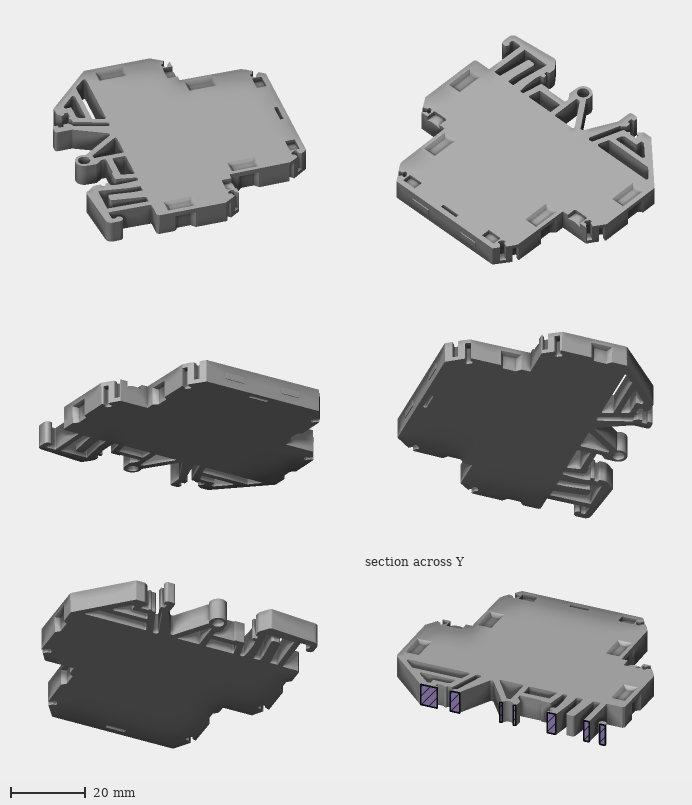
import cadquery as cq
import math

HEIGHT = 6.3
WIDTH = 67.14
BASE_HALF = WIDTH / 2
SHOULDER_Y = 23.9
TOWER_HALF = 21.9
TOWER_TOP = 46.73
FLANK_DRAFT_ANGLE = 1.0
WINDOW_DRAFT_ANGLE = 2.5

BASE_CUT_Y = 19.2
BASE_CUT_HALF = 30.4
TOWER_CUT_HALF = 17.74
TOWER_BEND = (20.86, 42.4)
TOWER_CUT_END = (21.68, 40.95)

EYE_CENTER = (4.31, -11.15)
EYE_DIAMETER = 4.9
EYE_HOLE_DIAMETER = 3.3

LEFT_FOOT = [
    (-BASE_HALF, 0.78, 0.9),
    (-20.1, -11.95, 0.4),
    (-17.5, -11.95, 0.8),
    (-16.2, -10.85, 0.3),
    (-16.65, -10.05, 0.2),
    (-17.2, -10.05, 0),
    (-17.2, -8.9, 0),
    (-15.15, -8.9, 0),
    (-15.05, -9.35, 0.15),
    (-14.4, -9.35, 0.15),
    (-14.1, -8.9, 0),
    (-12.9, -8.9, 0.4),
]
SPRING_ARM = [
    (-9.75, 0.2, 0.7),
    (-8.0, 0.2, 0.7),
    (-11.2, -9.3, 0.15),
    (-11.7, -9.36, 0),
    (-12.6, -10.25, 0.2),
    (-12.6, -11.7, 0.15),
    (-11.6, -11.7, 0),
    (-11.6, -13.15, 0),
    (-12.6, -13.2, 0.15),
    (-12.6, -14.75, 0.7),
    (-9.7, -14.75, 0.7),
    (-9.7, -10.05, 0.6),
    (-5.1, -1.15, 0.25),
    (-4.3, -1.15, 0.25),
]
PIVOT_LEG = [
    (1.95, -9.8, 0),
    (*EYE_CENTER, 0),
    (EYE_CENTER[0] + EYE_DIAMETER / 2, EYE_CENTER[1], 0),
    (6.86, -8.4, 0.5),
    (5.47, -6.7, 0.5),
    (5.47, -5.45, 0.2),
    (11.65, -5.45, 0),
    (11.75, -5.85, 0.2),
    (14.65, -5.85, 0.5),
]
RAIL_HOOK = [
    (15.75, 0.05, 0.5),
    (16.95, 0.05, 0.4),
    (17.2, -2.65, 1.0),
    (17.2, -6.15, 1.0),
    (16.9, -7.75, 0.3),
    (15.75, -7.85, 0.3),
    (15.75, -8.9, 0.25),
    (16.7, -9.0, 0.2),
    (16.7, -9.95, 0.2),
    (15.75, -10.2, 0.3),
    (15.75, -12.1, 2.0),
    (18.1, -15.0, 0.9),
    (32.9, -13.65, 1.6),
    (32.9, -9.1, 1.05),
    (30.7, -9.1, 0.95),
    (30.7, -10.25, 0.3),
    (31.2, -10.8, 0.4),
    (31.2, -11.95, 0.5),
    (28.2, -11.95, 0.3),
    (28.4, 0, 0.3),
    (33.0, 0, 0.2),
    (BASE_HALF, 0.66, 0.2),
]

LONG_WINDOW = [(-30.7, 0.15, 0.5), (-11.35, 0.15, 0.6), (-12.65, -3.5, 0.3), (-27.1, -3.5, 0.3)]
FOOT_WINDOW = [
    (-24.6, -4.9, 0.5),
    (-13.55, -4.9, 0.4),
    (-14.3, -7.3, 1.0),
    (-19.15, -7.3, 0),
    (-19.15, -9.15, 0.5),
    (-20.1, -9.15, 0.3),
]
TRIANGLE_WINDOW = [(-3.2, 0.15, 0.4), (4.1, 0.15, 0.3), (4.1, -8.4, 0.4), (2.9, -8.4, 0.4)]
ARM_WINDOW = [(5.7, 0, 0.3), (14.0, 0, 0.4), (13.25, -3.75, 0), (5.7, -3.75, 0)]
HOOK_WINDOW = [
    (19.7, -0.25, 0),
    (21.65, -0.25, 0),
    (21.65, -2.65, 0),
    (20.75, -9.85, 0.7),
    (23.3, -9.85, 0.7),
    (24.65, -0.25, 0),
    (26.75, -0.25, 0),
    (26.5, -11.75, 0),
    (18.35, -11.75, 0.2),
    (19.55, -3.65, 0),
]

SLOT_LENGTH = 5.55
SLOT_WIDTH = 1.0
SLOT_Y = 44.7

LABEL_BARS = [(-11.45, -6.15), (5.85, 11.65)]
LABEL_BAR_RISE = 0.22
LABEL_BAR_Z = (2.25, 4.05)

POCKET_SIZE = (4.1, 8.05)
POCKET_FLOOR = (2.0, 6.05)
POCKET_DEPTH = 0.9
RECESS_SIZE = (6.0, 4.95)
RECESS_FLOOR = (3.65, 4.3)
RECESS_DEPTH = 1.3
RECESS_OFFSET_Y = 0.44
LOWER_POCKET = (30.2, 7.48)
UPPER_POCKET = (18.75, 28.95)

CROWN_RADIUS = 5.0
CROWN_TOP = HEIGHT - 1.0
WELL_DEPTH = 2.4
UPPER_WELL = (14.58, 43.85)
UPPER_WELL_SIZE = (4.35, 2.7)
LOWER_WELL_X = 26.0
LOWER_WELL_SIZE = (4.55, 2.8)
LOWER_WELL_RADIUS = 0.45

GROOVE_MOUTH = 0.87
GROOVE_NECK = 0.6
GROOVE_HEAD = 1.05
GROOVE_TIP = 0.65
GROOVE_STATIONS = (1.1, 1.75, 2.25)
GROOVE_LENGTH = 5.15
GROOVE_SLOPE = math.degrees(math.atan2(SHOULDER_Y - BASE_CUT_Y, BASE_HALF - BASE_CUT_HALF))
GROOVE_CENTERS = [(19.34, 44.3), (30.8, 23.0)]
REAR_GROOVE_DROP = 2.75


def fillet_tangents(before, corner, after):
    """Start, middle and end of the arc rounding one corner."""
    x, y, radius = corner
    in_x, in_y = before[0] - x, before[1] - y
    out_x, out_y = after[0] - x, after[1] - y
    in_length = math.hypot(in_x, in_y)
    out_length = math.hypot(out_x, out_y)
    in_x, in_y = in_x / in_length, in_y / in_length
    out_x, out_y = out_x / out_length, out_y / out_length
    half_angle = math.acos(in_x * out_x + in_y * out_y) / 2
    setback = radius / math.tan(half_angle)
    mid_x, mid_y = in_x + out_x, in_y + out_y
    mid_length = math.hypot(mid_x, mid_y)
    reach = radius / math.sin(half_angle) - radius
    start = (x + in_x * setback, y + in_y * setback)
    middle = (x + mid_x / mid_length * reach, y + mid_y / mid_length * reach)
    end = (x + out_x * setback, y + out_y * setback)
    return start, middle, end


def rounded_outline(plane, corners):
    """Closed outline through (x, y, radius) corners on a workplane."""
    path = None
    for index, corner in enumerate(corners):
        before = corners[index - 1]
        after = corners[(index + 1) % len(corners)]
        if corner[2] > 0:
            start, middle, end = fillet_tangents(before, corner, after)
        else:
            start, middle, end = corner[:2], None, corner[:2]
        path = plane.moveTo(*start) if path is None else path.lineTo(*start)
        if middle:
            path = path.threePointArc(middle, end)
    return path.close()


def front_plane():
    """Workplane on the front face."""
    return cq.Workplane("XY").workplane(offset=HEIGHT)


def sharp(points):
    """Corners without rounding."""
    return [(x, y, 0) for x, y in points]


def housing():
    """Stepped plate with its feet; the flanks narrow towards the rear face."""
    right_edge = sharp([
        (BASE_HALF, BASE_CUT_Y),
        (BASE_CUT_HALF, SHOULDER_Y),
        (TOWER_HALF, SHOULDER_Y),
        TOWER_CUT_END,
        TOWER_BEND,
        (TOWER_CUT_HALF, TOWER_TOP),
    ])
    left_edge = [(-x, y, radius) for x, y, radius in reversed(right_edge)]
    corners = LEFT_FOOT + SPRING_ARM + PIVOT_LEG + RAIL_HOOK + right_edge + left_edge
    plate = rounded_outline(front_plane(), corners).extrude(-HEIGHT)
    eye = cq.Workplane("XY").center(*EYE_CENTER).circle(EYE_DIAMETER / 2).extrude(HEIGHT)
    return plate.union(eye).intersect(flank_envelope())


def flank_envelope():
    """Prism along Y that narrows towards the rear face and gives the outer flanks their draft."""
    rear_half = BASE_HALF - HEIGHT * math.tan(math.radians(FLANK_DRAFT_ANGLE))
    section = [(-rear_half, 0), (rear_half, 0), (BASE_HALF, HEIGHT), (-BASE_HALF, HEIGHT)]
    return cq.Workplane("XZ").polyline(section).close().extrude(2 * TOWER_TOP, both=True)


def cut_openings(body):
    """Through windows; the long and triangular ones narrow towards the rear face."""
    for window in (LONG_WINDOW, TRIANGLE_WINDOW):
        body = body.cut(rounded_outline(front_plane(), window).extrude(-HEIGHT, taper=WINDOW_DRAFT_ANGLE))
    for window in (FOOT_WINDOW, ARM_WINDOW, HOOK_WINDOW):
        body = body.cut(rounded_outline(front_plane(), window).extrude(-HEIGHT))
    eye_hole = front_plane().center(*EYE_CENTER).circle(EYE_HOLE_DIAMETER / 2).extrude(-HEIGHT)
    slot = front_plane().center(0, SLOT_Y).rect(SLOT_LENGTH, SLOT_WIDTH).extrude(-HEIGHT)
    return body.cut(eye_hole).cut(slot)


def label_bars():
    """Two low bars on the upper edge."""
    z_low, z_high = LABEL_BAR_Z
    bars = cq.Workplane("XY")
    for x_start, x_end in LABEL_BARS:
        bar = cq.Workplane("XY").box(
            x_end - x_start, 2 * LABEL_BAR_RISE, z_high - z_low, centered=(False, True, False)
        )
        bars = bars.union(bar.translate((x_start, TOWER_TOP, z_low)))
    return bars


def front_pocket(center):
    """Rectangular pocket with sloping walls in the front face."""
    return (
        front_plane().center(*center).rect(*POCKET_SIZE)
        .workplane(offset=-POCKET_DEPTH).rect(*POCKET_FLOOR).loft(ruled=True)
    )


def flank_recess(flank_x, center_y):
    """Tapered recess in the right flank, open at the rear face."""
    return (
        cq.Workplane("YZ", origin=(flank_x, center_y, 0)).rect(RECESS_SIZE[0], 2 * RECESS_SIZE[1])
        .workplane(offset=-RECESS_DEPTH).rect(RECESS_FLOOR[0], 2 * RECESS_FLOOR[1]).loft(ruled=True)
    )


def crowned(well, center_x):
    """Well tool with its floor shaped by a cylinder lying along Y."""
    crown = (
        cq.Workplane("XZ", origin=(center_x, 0, CROWN_TOP - CROWN_RADIUS))
        .circle(CROWN_RADIUS).extrude(-2 * TOWER_TOP)
    )
    return well.cut(crown)


def wells(side):
    """Upper and lower well on one side, -1 for left and 1 for right."""
    upper_x = side * UPPER_WELL[0]
    upper = front_plane().center(upper_x, UPPER_WELL[1]).rect(*UPPER_WELL_SIZE).extrude(-WELL_DEPTH)
    lower_x = side * LOWER_WELL_X
    width, length = LOWER_WELL_SIZE
    lower = (
        front_plane().center(lower_x, SHOULDER_Y).rect(width, 2 * length).extrude(-WELL_DEPTH)
        .edges("|Z").fillet(LOWER_WELL_RADIUS)
    )
    return crowned(upper, upper_x).union(crowned(lower, lower_x))


def groove(center, z_start):
    """Dovetail groove entering a right-hand sloping corner."""
    neck_depth, head_depth, tip_depth = GROOVE_STATIONS
    upper_side = [
        (neck_depth, 0),
        (0, GROOVE_MOUTH),
        (-neck_depth, GROOVE_NECK),
        (-head_depth, GROOVE_HEAD),
        (-tip_depth, GROOVE_TIP),
    ]
    profile = upper_side + [(x, -y) for x, y in reversed(upper_side[1:])]
    return (
        cq.Workplane("XY").polyline(profile).close().extrude(GROOVE_LENGTH)
        .rotate((0, 0, 0), (0, 0, 1), 90 - GROOVE_SLOPE)
        .translate((*center, z_start))
    )


def right_side_grooves():
    """Front grooves and, further down each slope, the matching rear grooves."""
    shift = REAR_GROOVE_DROP / math.tan(math.radians(GROOVE_SLOPE))
    tools = cq.Workplane("XY")
    for x, y in GROOVE_CENTERS:
        tools = tools.union(groove((x, y), HEIGHT - GROOVE_LENGTH))
        tools = tools.union(groove((x + shift, y - REAR_GROOVE_DROP), 0))
    return tools


def cut_both_sides(body, tool):
    """Cut a right-hand tool and its mirror image."""
    return body.cut(tool).cut(tool.mirror("YZ"))


result = cut_openings(housing()).union(label_bars())
for pocket_x, pocket_y in (LOWER_POCKET, UPPER_POCKET):
    result = cut_both_sides(result, front_pocket((pocket_x, pocket_y)))
for flank_x, pocket_y in ((BASE_HALF, LOWER_POCKET[1]), (TOWER_HALF, UPPER_POCKET[1])):
    result = cut_both_sides(result, flank_recess(flank_x, pocket_y + RECESS_OFFSET_Y))
for side in (-1, 1):
    result = result.cut(wells(side))
result = cut_both_sides(result, right_side_grooves())